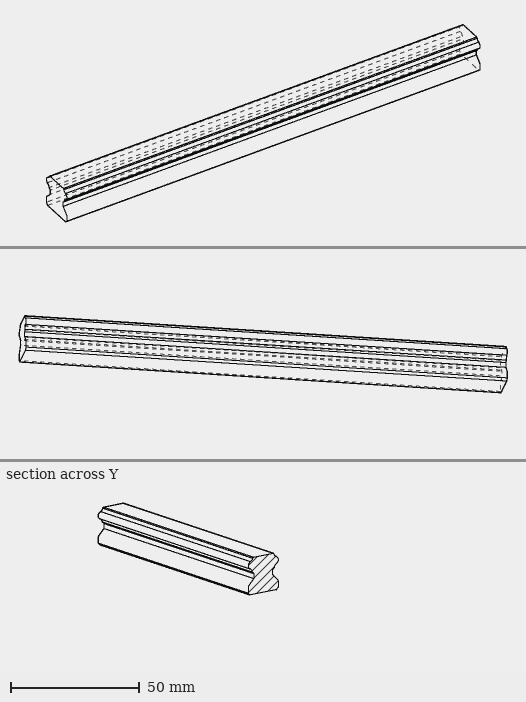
import cadquery as cq

length = 190.0
width = 15.0
height = 15.0
half_width = width / 2

foot_chamfer = 1.0
foot_side_top = 3.6
foot_rounding = 1.0

web_half_width = 4.8
web_bottom = foot_side_top + half_width - web_half_width
web_top = 8.4
web_bevel = 0.8

lower_groove_width = 1.3
lower_groove_height = 1.5
lower_groove_sag = 0.28

rib_bottom = 11.4
rib_top = 12.5
rib_lower_rounding = 0.5
rib_upper_rounding = 1.0

upper_groove_size = 1.1
upper_groove_sag = 0.23
top_half_width = 5.0
top_bevel = 0.4


def groove_middle(start, end, sag):
    """Middle point of a groove arc, sunk by sag to the left of the chord from start to end."""
    first = cq.Vector(*start)
    chord = cq.Vector(*end) - first
    inward = cq.Vector(-chord.y, chord.x).normalized()
    middle = first + chord * 0.5 + inward * sag
    return (middle.x, middle.y)


def half_profile():
    """Closed outline of the half section on the +X side, with sharp outer corners."""
    lower_start = (web_half_width + web_bevel, web_top + web_bevel)
    lower_end = (lower_start[0] + lower_groove_width, lower_start[1] + lower_groove_height)
    upper_end = (top_half_width + top_bevel, height - top_bevel)
    upper_start = (upper_end[0] + upper_groove_size, upper_end[1] - upper_groove_size)
    return (
        cq.Workplane("XZ", origin=(0, length / 2, 0))
        .lineTo(half_width - foot_chamfer, 0)
        .lineTo(half_width, foot_chamfer)
        .lineTo(half_width, foot_side_top)
        .lineTo(web_half_width, web_bottom)
        .lineTo(web_half_width, web_top)
        .lineTo(*lower_start)
        .threePointArc(groove_middle(lower_start, lower_end, lower_groove_sag), lower_end)
        .lineTo(half_width, rib_bottom)
        .lineTo(half_width, rib_top)
        .lineTo(*upper_start)
        .threePointArc(groove_middle(upper_start, upper_end, upper_groove_sag), upper_end)
        .lineTo(top_half_width, height)
        .lineTo(0, height)
        .close()
    )


def round_side_edge(body, edge_height, radius):
    """Round the lengthwise edge at the given height on the outermost +X side."""
    point = (half_width, 0, edge_height)
    return body.edges(cq.selectors.NearestToPointSelector(point)).fillet(radius)


half_rail = half_profile().extrude(length)
half_rail = round_side_edge(half_rail, foot_side_top, foot_rounding)
half_rail = round_side_edge(half_rail, rib_bottom, rib_lower_rounding)
half_rail = round_side_edge(half_rail, rib_top, rib_upper_rounding)

result = half_rail.union(half_rail.mirror("YZ")).clean()